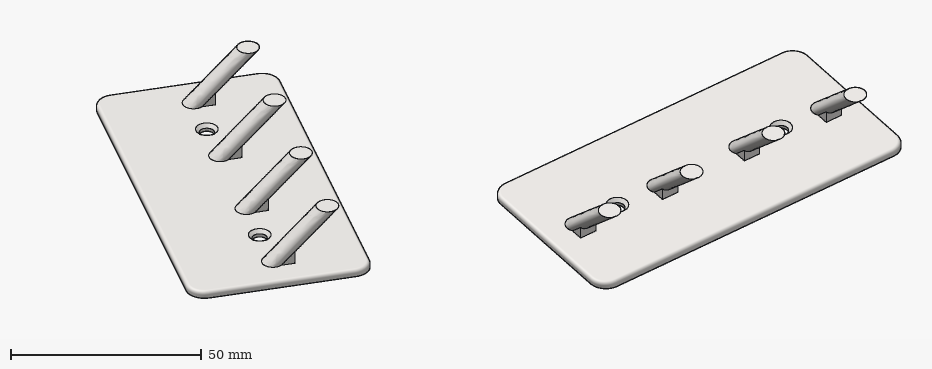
import cadquery as cq
import math

PLATE_LENGTH = 100.0
PLATE_WIDTH = 50.0
PLATE_THICKNESS = 2.0
CORNER_RADIUS = 5.0
TOP_EDGE_RADIUS = 1.0

PEG_COUNT = 4
PEG_SPAN = 80.0
PEG_DIAMETER = 6.0
PEG_AXIS_LENGTH = 21.0
PEG_ANGLE = math.radians(45.0)
PEG_PITCH = PEG_SPAN / (PEG_COUNT - 1)
PEG_RISE = PEG_AXIS_LENGTH * math.sin(PEG_ANGLE)
PEG_REACH = PEG_AXIS_LENGTH * math.cos(PEG_ANGLE)

GUSSET_WIDTH = 5.0
GUSSET_END_Y = 5.3

HOLE_DIAMETER = 4.0
COUNTERSINK_DIAMETER = 6.0
COUNTERSINK_ANGLE = 90.0
HOLE_X = PEG_PITCH


def make_plate():
    """Rounded rectangle with its top rim filleted and two screw holes."""
    plate = (
        cq.Workplane("XY")
        .rect(PLATE_LENGTH, PLATE_WIDTH)
        .extrude(PLATE_THICKNESS)
        .edges("|Z")
        .fillet(CORNER_RADIUS)
        .faces(">Z")
        .edges()
        .fillet(TOP_EDGE_RADIUS)
    )
    return (
        plate.faces(">Z")
        .workplane(origin=(0, 0, PLATE_THICKNESS))
        .pushPoints([(-HOLE_X, 0), (HOLE_X, 0)])
        .cskHole(HOLE_DIAMETER, COUNTERSINK_DIAMETER, COUNTERSINK_ANGLE)
    )


def make_peg(x):
    """Peg rooted at Y = 0 that leans toward +Y and ends in a level top."""
    path = (
        cq.Workplane("YZ", origin=(x, 0, PLATE_THICKNESS))
        .moveTo(0, 0)
        .lineTo(PEG_REACH, PEG_RISE)
    )
    return (
        cq.Workplane("XY", origin=(x, 0, PLATE_THICKNESS))
        .circle(PEG_DIAMETER / 2)
        .sweep(path)
    )


def make_gusset(x):
    """Triangular rib between the plate and the peg axis."""
    height = GUSSET_END_Y * math.tan(PEG_ANGLE)
    return (
        cq.Workplane("YZ", origin=(x, 0, PLATE_THICKNESS))
        .polyline([(0, 0), (GUSSET_END_Y, 0), (GUSSET_END_Y, height)])
        .close()
        .extrude(GUSSET_WIDTH / 2, both=True)
    )


result = make_plate()
for index in range(PEG_COUNT):
    peg_x = index * PEG_PITCH - PEG_SPAN / 2
    result = result.union(make_peg(peg_x)).union(make_gusset(peg_x))